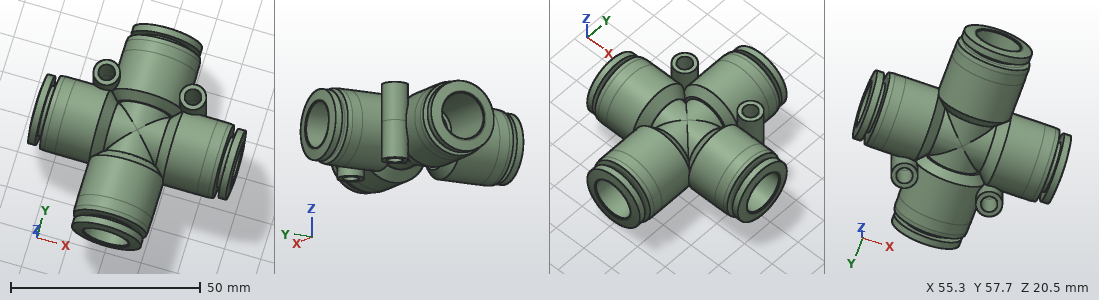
import cadquery as cq


x_reach = 27.65
y_reach = 28.85

body_diameter = 20.5
body_radius = body_diameter / 2
mid_nose_radius = 10.2
nose_radius = 10.05
end_face_radius = 8.65
neck_radius = 6.9
collar_radius = 9.5
core_radius = 7.2

collar_edge_depth = 0.4
collar_back_depth = 2.35
body_end_depth = 3.6
nose_edge_depth = 3.8
mid_nose_depth = 5.1
taper_start_depth = 8.1

x_shoulder = 10.15
y_shoulder = 9.5

mouth_rim_radius = 6.75
mouth_radius = 6.4
tube_radius = 6.25
mouth_taper_depth = 0.35
flow_radius = 5.0

lug_offset = 11.9
lug_radius = 3.5
lug_hole_radius = 2.2
lug_height = body_diameter


def arm_solid(reach, shoulder):
    """Outer shape of one arm, from the centre out along +X."""
    cone_end_radius = body_radius - (shoulder - core_radius)
    profile = [
        (0, 0),
        (0, core_radius),
        (core_radius, core_radius),
        (core_radius, cone_end_radius),
        (shoulder, body_radius),
        (reach - taper_start_depth, body_radius),
        (reach - mid_nose_depth, mid_nose_radius),
        (reach - nose_edge_depth, nose_radius),
        (reach - body_end_depth, end_face_radius),
        (reach - body_end_depth, neck_radius),
        (reach - collar_back_depth, neck_radius),
        (reach - collar_back_depth, collar_radius),
        (reach - collar_edge_depth, collar_radius),
        (reach, mouth_rim_radius),
        (reach, 0),
    ]
    return cq.Workplane("XY").polyline(profile).close().revolve(360, (0, 0, 0), (1, 0, 0))


def arm_bore(reach, shoulder):
    """Stepped bore of one arm, from the centre out along +X."""
    profile = [
        (0, 0),
        (0, flow_radius),
        (shoulder, flow_radius),
        (shoulder, tube_radius),
        (reach - mouth_taper_depth, tube_radius),
        (reach, mouth_radius),
        (reach, 0),
    ]
    return cq.Workplane("XY").polyline(profile).close().revolve(360, (0, 0, 0), (1, 0, 0))


def cross(make_arm):
    """Join one arm shape repeated along +X, +Y, -X and -Y."""
    joined = make_arm(x_reach, x_shoulder)
    for angle, reach, shoulder in (
        (90, y_reach, y_shoulder),
        (180, x_reach, x_shoulder),
        (270, y_reach, y_shoulder),
    ):
        joined = joined.union(make_arm(reach, shoulder).rotate((0, 0, 0), (0, 0, 1), angle))
    return joined


def lug_cylinders(radius):
    """Upright cylinders at both lug positions, as tall as the body."""
    return (
        cq.Workplane("XY")
        .pushPoints([(-lug_offset, lug_offset), (lug_offset, lug_offset)])
        .circle(radius)
        .extrude(lug_height / 2, both=True)
    )


outside = cross(arm_solid).union(lug_cylinders(lug_radius))

result = outside.cut(cross(arm_bore)).cut(lug_cylinders(lug_hole_radius))